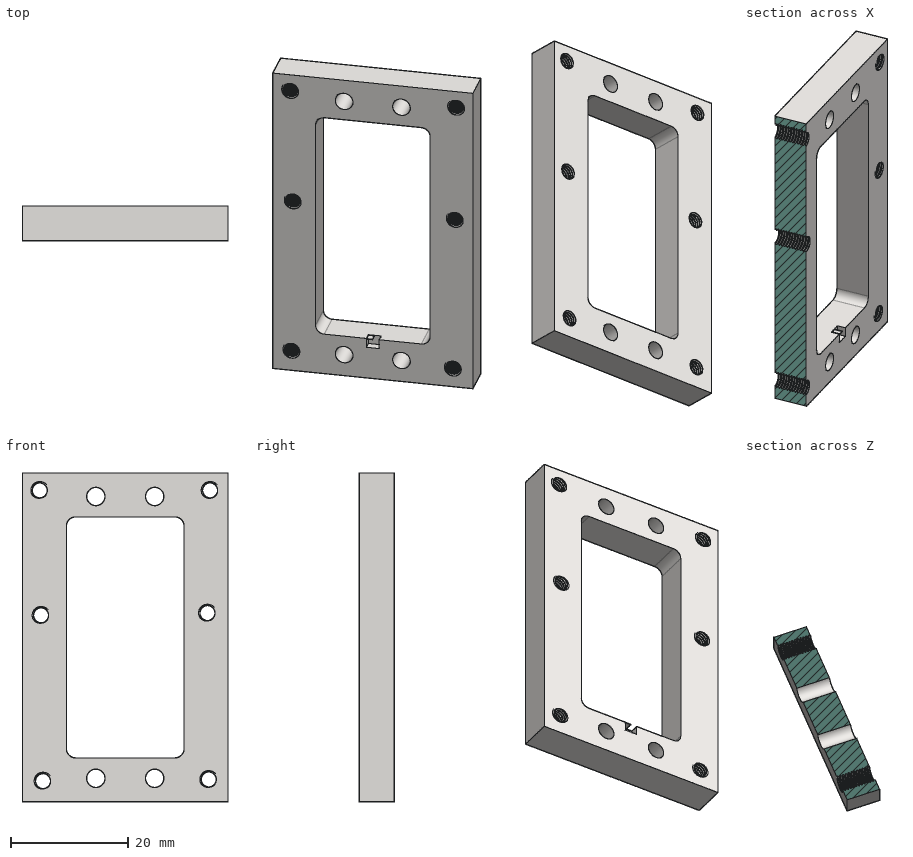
import cadquery as cq

width = 35.0
thickness = 6.0
height = 56.0
front_y = -thickness / 2
back_y = thickness / 2

window_width = 20.0
window_height = 41.0
window_corner_radius = 1.5
window_floor_z = -window_height / 2

plain_diameter = 3.1
plain_spacing_x = 10.0
plain_spacing_z = 48.0

thread_minor_diameter = 2.5
thread_major_diameter = 3.0
thread_pitch = 0.5
thread_mouth = 0.42
thread_root = 0.05
thread_overlap = 0.05
thread_positions = [
    (-14.55, 25.05),
    (14.45, 25.05),
    (-14.35, 3.75),
    (14.0, 4.15),
    (-14.0, -24.5),
    (14.2, -24.2),
]

pocket_width = 2.25
pocket_depth = 1.5
pocket_drop = 1.7
lip_width = 1.05
lip_thickness = 0.1
lip_recess = 0.03


def make_window():
    return (
        cq.Workplane("XY")
        .box(window_width, thickness, window_height)
        .edges("|Y")
        .fillet(window_corner_radius)
    )


def make_plain_holes():
    return (
        cq.Workplane("XZ", origin=(0, back_y, 0))
        .rarray(plain_spacing_x, plain_spacing_z, 2, 2)
        .circle(plain_diameter / 2)
        .extrude(thickness)
    )


def make_threaded_bore():
    """Bore along Y, one pitch longer than the plate at both ends, with a helical groove in its wall."""
    length = thickness + 2 * thread_pitch
    minor_radius = thread_minor_diameter / 2
    major_radius = thread_major_diameter / 2
    inner_radius = minor_radius - thread_overlap
    helix = cq.Workplane(obj=cq.Wire.makeHelix(thread_pitch, length, minor_radius))
    groove = (
        cq.Workplane("XZ")
        .moveTo(inner_radius, -thread_mouth / 2)
        .lineTo(major_radius, -thread_root / 2)
        .lineTo(major_radius, thread_root / 2)
        .lineTo(inner_radius, thread_mouth / 2)
        .close()
        .sweep(helix, isFrenet=True)
    )
    bore = cq.Workplane("XY").circle(minor_radius).extrude(length)
    return (
        bore.union(groove)
        .rotate((0, 0, 0), (1, 0, 0), -90)
        .rotate((0, 0, 0), (0, 1, 0), 180)
        .translate((0, front_y - thread_pitch, 0))
    )


def make_back_pocket():
    """Pocket just below the window floor, open to the back, with the lip left standing in it."""
    pocket = cq.Workplane("XY").box(pocket_width, pocket_depth, pocket_drop)
    lip = (
        cq.Workplane("XY")
        .box(lip_width, pocket_depth, lip_thickness)
        .translate(((pocket_width - lip_width) / 2, 0, (pocket_drop - lip_thickness) / 2 - lip_recess))
    )
    return pocket.cut(lip).translate((0, back_y - pocket_depth / 2, window_floor_z - pocket_drop / 2))


plate = cq.Workplane("XY").box(width, thickness, height)
result = plate.cut(make_window()).cut(make_plain_holes()).cut(make_back_pocket())

threaded_bore = make_threaded_bore()
for x, z in thread_positions:
    result = result.cut(threaded_bore.translate((x, 0, z)))